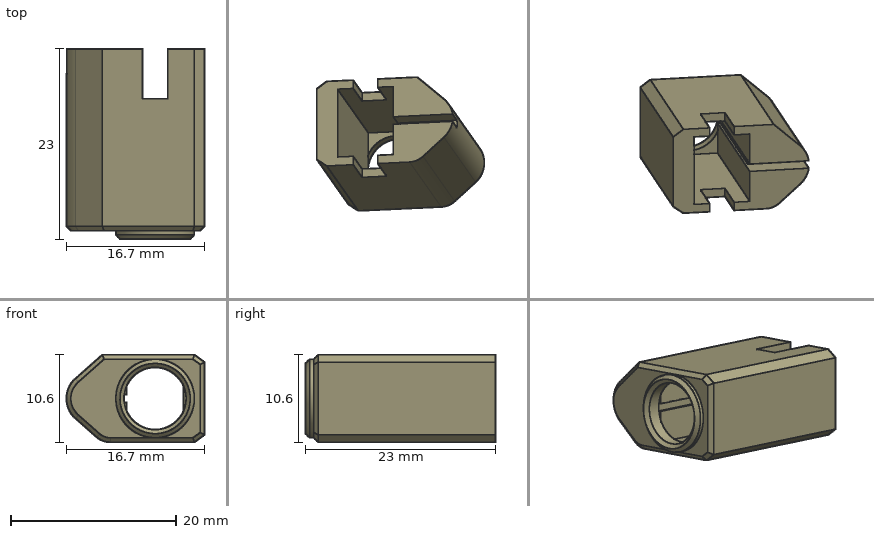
import cadquery as cq
import math

BODY_LENGTH = 22.0
HALF_HEIGHT = 5.3
RIGHT_X = 6.0
NOSE_X = -10.74
NOSE_RADIUS = 3.2
SLOPE_ANGLE = math.radians(41.5)
LOWER_FILLET = 2.5
CORNER_X = 1.25
CORNER_Z = 0.9
FRONT_CHAMFER = 0.55

COLLAR_DIAMETER = 9.5
COLLAR_LENGTH = 1.0
BORE_DIAMETER = 7.5
RIM_CHAMFER = 0.5

CAVITY_WIDTH = 6.85
CAVITY_HEIGHT = 8.5
CAVITY_FRONT_Y = 1.15

CROSS_SLOT_WIDTH = 3.0
CROSS_SLOT_DEPTH = 6.0
SLIT_HEIGHT = 0.93
SLIT_DEPTH = 3.0


def box(x_min, x_max, y_min, y_max, height):
    """Box between the given X and Y limits, centred on z = 0."""
    size_x = x_max - x_min
    size_y = y_max - y_min
    return cq.Workplane("XY").box(size_x, size_y, height).translate(
        ((x_min + x_max) / 2, (y_min + y_max) / 2, 0)
    )


def cylinder(diameter, y_min, y_max):
    """Cylinder on the Y axis."""
    return cq.Workplane("XZ", origin=(0, y_max, 0)).circle(diameter / 2).extrude(y_max - y_min)


def make_body():
    """Nosed prism with its front outline chamfered."""
    nose_centre_x = NOSE_X + NOSE_RADIUS
    tangent_x = nose_centre_x - NOSE_RADIUS * math.sin(SLOPE_ANGLE)
    tangent_z = NOSE_RADIUS * math.cos(SLOPE_ANGLE)
    shoulder_x = tangent_x + (HALF_HEIGHT - tangent_z) / math.tan(SLOPE_ANGLE)

    fillet_reach = LOWER_FILLET * math.tan(SLOPE_ANGLE / 2)
    fillet_centre_x = shoulder_x + fillet_reach
    fillet_centre_z = LOWER_FILLET - HALF_HEIGHT
    fillet_end = (
        fillet_centre_x - LOWER_FILLET * math.sin(SLOPE_ANGLE),
        fillet_centre_z - LOWER_FILLET * math.cos(SLOPE_ANGLE),
    )
    fillet_middle = (
        fillet_centre_x - LOWER_FILLET * math.sin(SLOPE_ANGLE / 2),
        fillet_centre_z - LOWER_FILLET * math.cos(SLOPE_ANGLE / 2),
    )

    bevel_x = RIGHT_X - CORNER_X
    bevel_z = HALF_HEIGHT - CORNER_Z
    return (
        cq.Workplane("XZ", origin=(0, BODY_LENGTH, 0))
        .moveTo(shoulder_x, HALF_HEIGHT)
        .lineTo(bevel_x, HALF_HEIGHT)
        .lineTo(RIGHT_X, bevel_z)
        .lineTo(RIGHT_X, -bevel_z)
        .lineTo(bevel_x, -HALF_HEIGHT)
        .lineTo(fillet_centre_x, -HALF_HEIGHT)
        .threePointArc(fillet_middle, fillet_end)
        .lineTo(tangent_x, -tangent_z)
        .threePointArc((NOSE_X, 0), (tangent_x, tangent_z))
        .close()
        .extrude(BODY_LENGTH)
        .faces("<Y")
        .chamfer(FRONT_CHAMFER)
    )


def make_collar():
    """Collar that starts on the front face, chamfered around its tip."""
    return cylinder(COLLAR_DIAMETER, -COLLAR_LENGTH, 0).faces("<Y").chamfer(RIM_CHAMFER)


def make_bore():
    """Cutter for the bore and its chamfered mouth."""
    bore_radius = BORE_DIAMETER / 2
    bore = cylinder(BORE_DIAMETER, -COLLAR_LENGTH, CAVITY_FRONT_Y)
    mouth = cq.Workplane("XY").add(
        cq.Solid.makeCone(
            bore_radius + RIM_CHAMFER,
            bore_radius,
            RIM_CHAMFER,
            cq.Vector(0, -COLLAR_LENGTH, 0),
            cq.Vector(0, 1, 0),
        )
    )
    return bore.union(mouth)


def make_cavity():
    """Cutter for the rectangular cavity."""
    return box(-CAVITY_WIDTH / 2, CAVITY_WIDTH / 2, CAVITY_FRONT_Y, BODY_LENGTH, CAVITY_HEIGHT)


def make_cross_slot():
    """Cutter for the slot through the top and bottom walls."""
    slot_front_y = BODY_LENGTH - CROSS_SLOT_DEPTH
    return box(-CROSS_SLOT_WIDTH / 2, CROSS_SLOT_WIDTH / 2, slot_front_y, BODY_LENGTH, 2 * HALF_HEIGHT)


def make_nose_slit():
    """Cutter for the slit from the nose into the cavity."""
    return box(NOSE_X, 0, BODY_LENGTH - SLIT_DEPTH, BODY_LENGTH, SLIT_HEIGHT)


def make_cavity_groove():
    """Cutter for the groove along the left cavity wall, flush with the bore side."""
    return box(-BORE_DIAMETER / 2, 0, CAVITY_FRONT_Y, BODY_LENGTH, SLIT_HEIGHT)


result = (
    make_body()
    .union(make_collar())
    .cut(make_bore())
    .cut(make_cavity())
    .cut(make_cross_slot())
    .cut(make_nose_slit())
    .cut(make_cavity_groove())
)